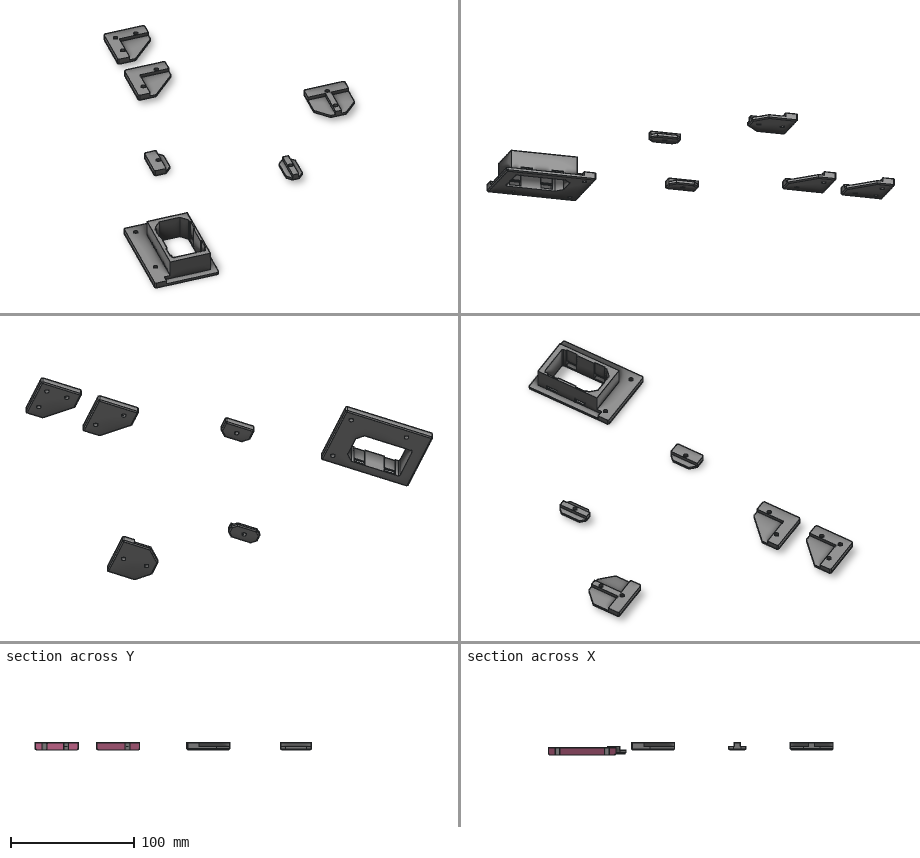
import cadquery as cq

full_height = 6.0
lip_height = 3.0
bottom_chamfer = 1.0
hole_diameter = 3.5

bracket_size = 35.0
bracket_arm = 10.0
bracket_corner = 1.0
bracket_hole_near = 7.5
bracket_hole_far = 25.0
corner_cut = 20.0
tee_rib = 5.0
tee_corner_cut = 10.8
tee_hole_far = 27.5

clip_length = 25.0
edge_clip_width = 15.0
edge_clip_lip = 5.0
middle_clip_width = 14.0
middle_clip_lip = 4.5
edge_clip_corner_cut = 5.0
edge_clip_corner = 1.0
middle_clip_corner_cut = 4.0

plate_length = 75.8
plate_width = 55.0
plate_corner = 1.0
plate_hole_inset = 7.5
plate_hole_far = 55.7
recess_width = 5.5
recess_start = 10.0
housing_height = 20.0
frame_length = 56.0
frame_width = 34.55
frame_x = plate_length - recess_width - frame_length
frame_y = plate_width - recess_width - frame_width
window_length = 47.5
window_width = 28.5
window_left_wall = 3.8
window_back_wall = 2.3
window_x = frame_x + window_left_wall
window_y = frame_y + frame_width - window_back_wall - window_width
window_corner_cut = 5.5
window_corner = 1.0

clip_pocket_length = 9.7
clip_pocket_depth = 1.0
clip_pocket_starts = (7.8, 34.3)
clip_slot_top = 6.5
clip_pocket_floor = 1.5

layout_length = 314.6
layout_width = 230.92
corner_bracket_place = (0, 67.4, 4.0)
open_corner_bracket_place = (49.75, 67.4, 4.0)
tee_bracket_place = (122.8, layout_width - bracket_size, 4.1)
edge_clip_place = (153.0, 48.0, 1.0)
middle_clip_place = (198.85, 146.2, 4.0)
housing_place = (layout_length - plate_length, 0, 0)


def block(length, width, height, x=0.0, y=0.0, z=0.0):
    return cq.Workplane("XY").box(length, width, height, centered=False).translate((x, y, z))


def plan_corner(body, x, y):
    """Select the vertical edge of the body that stands at the plan point (x, y)."""
    reach = 0.01
    low = (x - reach, y - reach, -housing_height)
    high = (x + reach, y + reach, housing_height)
    box = cq.selectors.BoxSelector(low, high)
    return body.edges("|Z").edges(box)


def cut_corners(body, points, size):
    for x, y in points:
        body = plan_corner(body, x, y).chamfer(size)
    return body


def ease_bottom(body):
    return body.faces("<Z").edges().chamfer(bottom_chamfer)


def drill(body, points):
    drills = cq.Workplane("XY").pushPoints(points).circle(hole_diameter / 2).extrude(housing_height)
    return body.cut(drills)


def make_corner_bracket(hole_points):
    """Square with one corner cut off and an L-shaped raised arm along its outer sides."""
    far = bracket_size
    body = block(far, far, full_height)
    body = cut_corners(body, [(far, far)], corner_cut)
    body = cut_corners(body, [(0, 0), (far, 0), (0, far)], bracket_corner)
    body = ease_bottom(body)
    body = body.cut(block(far, far, full_height, bracket_arm, bracket_arm, lip_height))
    return drill(body, hole_points)


def make_tee_bracket():
    """Raised T: an arm along one side and a rib down the middle, with lips on both sides of the rib."""
    far = bracket_size
    body = block(far, far, full_height)
    body = cut_corners(body, [(far, 0), (far, far)], tee_corner_cut)
    body = cut_corners(body, [(0, 0), (0, far)], bracket_corner)
    body = ease_bottom(body)
    lip_width = (far - tee_rib) / 2
    for y in (0, far - lip_width):
        body = body.cut(block(far, lip_width, full_height, bracket_arm, y, lip_height))
    return drill(body, [(bracket_hole_near, far / 2), (tee_hole_far, far / 2)])


def make_edge_clip():
    """Clip with a raised bar and one lip along its +Y side."""
    body = block(clip_length, edge_clip_width, full_height)
    body = cut_corners(body, [(0, edge_clip_width), (clip_length, edge_clip_width)], edge_clip_corner_cut)
    body = cut_corners(body, [(0, 0), (clip_length, 0)], edge_clip_corner)
    body = ease_bottom(body)
    lip_y = edge_clip_width - edge_clip_lip
    body = body.cut(block(clip_length, edge_clip_lip, full_height, 0, lip_y, lip_height))
    return drill(body, [(clip_length / 2, edge_clip_width / 2)])


def make_middle_clip():
    """Clip with a raised rib along its middle and a lip on each side."""
    body = block(clip_length, middle_clip_width, full_height)
    corners = [(x, y) for x in (0, clip_length) for y in (0, middle_clip_width)]
    body = cut_corners(body, corners, middle_clip_corner_cut)
    body = ease_bottom(body)
    for y in (0, middle_clip_width - middle_clip_lip):
        body = body.cut(block(clip_length, middle_clip_lip, full_height, 0, y, lip_height))
    return drill(body, [(clip_length / 2, middle_clip_width / 2)])


def make_base_plate():
    """Plate recessed along its +Y and +X edges, with three screw holes."""
    body = block(plate_length, plate_width, full_height)
    corners = [(x, y) for x in (0, plate_length) for y in (0, plate_width)]
    body = cut_corners(body, corners, plate_corner)
    body = ease_bottom(body)
    recess_y = plate_width - recess_width
    recess_x = plate_length - recess_width
    body = body.cut(block(plate_length, recess_width, full_height, recess_start, recess_y, lip_height))
    body = body.cut(block(recess_width, plate_width, full_height, recess_x, recess_start, lip_height))
    far_y = plate_width - plate_hole_inset
    near = plate_hole_inset
    return drill(body, [(near, near), (plate_hole_far, near), (near, far_y)])


def make_window():
    """Solid that fills the socket window: two large corner cuts at the left, small ones at the right."""
    body = block(window_length, window_width, housing_height, window_x, window_y)
    ends_y = (window_y, window_y + window_width)
    body = cut_corners(body, [(window_x, y) for y in ends_y], window_corner_cut)
    return cut_corners(body, [(window_x + window_length, y) for y in ends_y], window_corner)


def cut_clip_seats(body):
    """Open-topped pockets in both long window walls, each with a slot through the wall at its foot."""
    pocket_y = window_y - clip_pocket_depth
    pocket_width = window_width + 2 * clip_pocket_depth
    slot_height = clip_slot_top - clip_pocket_floor
    for start in clip_pocket_starts:
        x = window_x + start
        pocket = block(clip_pocket_length, pocket_width, housing_height, x, pocket_y, clip_pocket_floor)
        slot = block(clip_pocket_length, frame_width, slot_height, x, frame_y, clip_pocket_floor)
        body = body.cut(pocket).cut(slot)
    return body


def make_housing():
    """Base plate carrying the raised frame, with the socket window passing through both."""
    body = make_base_plate()
    frame_height = housing_height - lip_height
    body = body.union(block(frame_length, frame_width, frame_height, frame_x, frame_y, lip_height))
    body = body.cut(make_window())
    return cut_clip_seats(body)


corner_bracket = make_corner_bracket([
    (bracket_hole_near, bracket_hole_near),
    (bracket_hole_far, bracket_hole_near),
    (bracket_hole_near, bracket_hole_far),
]).translate(corner_bracket_place)
open_corner_bracket = make_corner_bracket([
    (bracket_hole_far, bracket_hole_near),
    (bracket_hole_near, bracket_hole_far),
]).translate(open_corner_bracket_place)
tee_bracket = make_tee_bracket().translate(tee_bracket_place)
edge_clip = make_edge_clip().translate(edge_clip_place)
middle_clip = make_middle_clip().translate(middle_clip_place)
housing = make_housing().translate(housing_place)

result = cq.Compound.makeCompound([
    corner_bracket.val(),
    open_corner_bracket.val(),
    tee_bracket.val(),
    edge_clip.val(),
    middle_clip.val(),
    housing.val(),
])